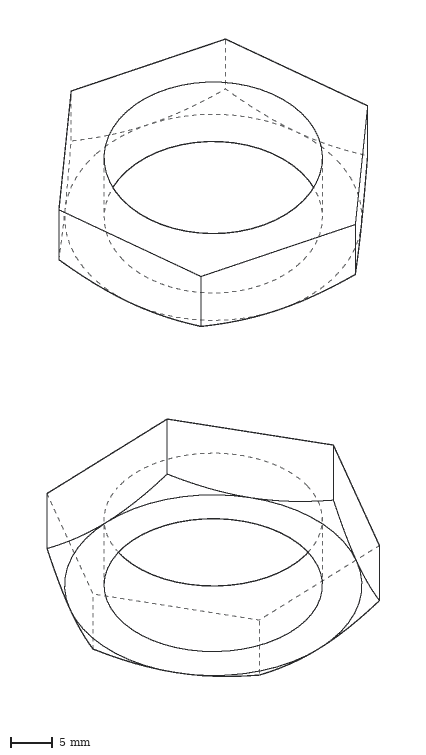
import cadquery as cq
import math

across_corners = 41.55
height = 10.0
bore_diameter = 26.45
chamfer_angle = 30.0

corner_radius = across_corners / 2
flat_radius = corner_radius * math.cos(math.radians(30))
chamfer_slope = math.tan(math.radians(chamfer_angle))


def hexagon_blank():
    """Hexagonal prism on Z = 0 with two corners on the X axis."""
    return cq.Workplane("XY").polygon(6, across_corners).extrude(height)


def chamfer_envelope():
    """Turned body whose bottom cone starts at the inscribed circle and clears the corners."""
    outer_radius = across_corners
    cone_height = (outer_radius - flat_radius) * chamfer_slope
    envelope_top = height + cone_height
    return (
        cq.Workplane("XZ")
        .moveTo(0, 0)
        .lineTo(flat_radius, 0)
        .lineTo(outer_radius, cone_height)
        .lineTo(outer_radius, envelope_top)
        .lineTo(0, envelope_top)
        .close()
        .revolve(360, (0, 0, 0), (0, 1, 0))
    )


def bore():
    """Plain through hole on the nut axis."""
    return cq.Workplane("XY").circle(bore_diameter / 2).extrude(height)


result = hexagon_blank().intersect(chamfer_envelope()).cut(bore())